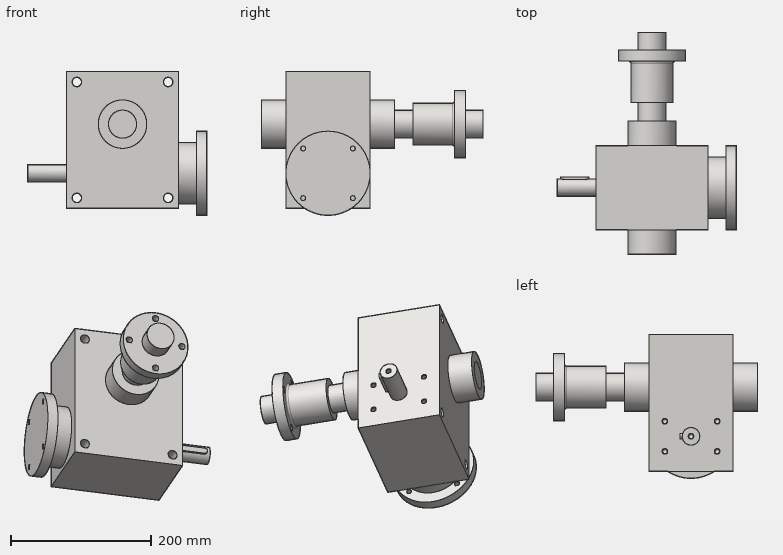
import cadquery as cq
import math


BLOCK_WIDTH = 160
BLOCK_DEPTH = 120
BLOCK_HEIGHT = 195
BLOCK_TOP = 75
BLOCK_BOTTOM = BLOCK_TOP - BLOCK_HEIGHT
MOUNT_HOLE_DIAMETER = 13
MOUNT_HOLE_INSET = 15

TUBE_DIAMETER = 69
TUBE_LENGTH = 35
TUBE_END = BLOCK_DEPTH / 2 + TUBE_LENGTH

WORM_ABOVE_BOTTOM = 50
WORM_HEIGHT = BLOCK_BOTTOM + WORM_ABOVE_BOTTOM

NECK_DIAMETER = 88
NECK_LENGTH = 25
MOTOR_FLANGE_DIAMETER = 120
MOTOR_FLANGE_THICKNESS = 15
MOTOR_HOLE_DIAMETER = 7
MOTOR_BOLT_CIRCLE = 100
MOTOR_HOLE_ANGLES = (45, 135, 225, 315)

THREAD_DIAMETER = 8
CORE_DIAMETER = 6.65
CORE_DEPTH = 20
DRILL_POINT_ANGLE = 118
COVER_BOLT_CIRCLE = 86
COVER_HOLE_ANGLES = (30, 150, 210, 330)

SCREW_DIAMETER = 40
SCREW_PAST_NUT = 25
NUT_GAP = 26

NUT_LENGTH = 75
NUT_DIAMETER = 60
NUT_FLANGE_DIAMETER = 96
NUT_FLANGE_THICKNESS = 16
NUT_FILLET = 3
NUT_HOLE_DIAMETER = 9
NUT_BOLT_CIRCLE = 78
NUT_HOLE_ANGLES = (0, 90, 180, 270)
NUT_START = TUBE_END + NUT_GAP
NUT_END = NUT_START + NUT_LENGTH
SCREW_END = NUT_END + SCREW_PAST_NUT

SHAFT_DIAMETER = 25
SHAFT_LENGTH = 55
SHAFT_START = -BLOCK_WIDTH / 2 - SHAFT_LENGTH
KEY_LENGTH = 40
KEY_WIDTH = 8
KEY_HEIGHT = 7
KEY_SEAT_DEPTH = 4
KEY_END_DISTANCE = 5


def cylinder_y(diameter, start, end):
    """Cylinder on the screw axis between two Y positions."""
    axis_start = cq.Vector(0, start, 0)
    return cq.Workplane(cq.Solid.makeCylinder(diameter / 2, end - start, axis_start, cq.Vector(0, 1, 0)))


def cylinder_x(diameter, start, end, y=0, z=WORM_HEIGHT):
    """Cylinder parallel to X between two X positions."""
    axis_start = cq.Vector(start, y, z)
    return cq.Workplane(cq.Solid.makeCylinder(diameter / 2, end - start, axis_start, cq.Vector(1, 0, 0)))


def circle_points(diameter, angles):
    """Points at the given angles in degrees on a circle about the origin."""
    radius = diameter / 2
    return [
        (radius * math.cos(math.radians(angle)), radius * math.sin(math.radians(angle)))
        for angle in angles
    ]


def tapping_hole(face_x, y=0, z=WORM_HEIGHT):
    """Blind tapping hole going in +X from a face, with a countersunk mouth and a drill point."""
    direction = cq.Vector(1, 0, 0)
    mouth_radius = THREAD_DIAMETER / 2
    core_radius = CORE_DIAMETER / 2
    core_end = face_x + CORE_DEPTH
    countersink_depth = mouth_radius - core_radius
    point_length = core_radius / math.tan(math.radians(DRILL_POINT_ANGLE / 2))

    countersink = cq.Solid.makeCone(
        mouth_radius, core_radius, countersink_depth, cq.Vector(face_x, y, z), direction
    )
    point = cq.Solid.makeCone(core_radius, 0, point_length, cq.Vector(core_end, y, z), direction)
    core = cylinder_x(CORE_DIAMETER, face_x, core_end, y, z)
    return core.union(cq.Workplane(countersink)).union(cq.Workplane(point))


def make_housing():
    block_centre_z = (BLOCK_TOP + BLOCK_BOTTOM) / 2
    block = cq.Workplane().box(BLOCK_WIDTH, BLOCK_DEPTH, BLOCK_HEIGHT).translate((0, 0, block_centre_z))

    mount_holes = (
        cq.Workplane("XZ", origin=(0, 0, block_centre_z))
        .rarray(BLOCK_WIDTH - 2 * MOUNT_HOLE_INSET, BLOCK_HEIGHT - 2 * MOUNT_HOLE_INSET, 2, 2)
        .circle(MOUNT_HOLE_DIAMETER / 2)
        .extrude(BLOCK_DEPTH / 2, both=True)
    )
    housing = block.cut(mount_holes)

    housing = housing.union(cylinder_y(TUBE_DIAMETER, -TUBE_END, TUBE_END))
    housing = housing.cut(cylinder_y(SCREW_DIAMETER, -TUBE_END, TUBE_END))

    neck_start = BLOCK_WIDTH / 2
    flange_start = neck_start + NECK_LENGTH
    flange_end = flange_start + MOTOR_FLANGE_THICKNESS
    housing = housing.union(cylinder_x(NECK_DIAMETER, neck_start, flange_start))
    housing = housing.union(cylinder_x(MOTOR_FLANGE_DIAMETER, flange_start, flange_end))
    for y, z in circle_points(MOTOR_BOLT_CIRCLE, MOTOR_HOLE_ANGLES):
        housing = housing.cut(cylinder_x(MOTOR_HOLE_DIAMETER, flange_start, flange_end, y, WORM_HEIGHT + z))

    for y, z in circle_points(COVER_BOLT_CIRCLE, COVER_HOLE_ANGLES):
        housing = housing.cut(tapping_hole(-BLOCK_WIDTH / 2, y, WORM_HEIGHT + z))
    return housing


def make_screw():
    return cylinder_y(SCREW_DIAMETER, -TUBE_END, SCREW_END)


def make_nut():
    flange_start = NUT_END - NUT_FLANGE_THICKNESS
    body = cylinder_y(NUT_DIAMETER, NUT_START, NUT_END)
    flange = cylinder_y(NUT_FLANGE_DIAMETER, flange_start, NUT_END)
    body_circles = cq.selectors.RadiusNthSelector(0)
    nut = body.union(flange).edges(body_circles).edges(">Y").fillet(NUT_FILLET)
    nut = nut.cut(cylinder_y(SCREW_DIAMETER, NUT_START, NUT_END))
    holes = (
        cq.Workplane("XZ", origin=(0, NUT_END, 0))
        .pushPoints(circle_points(NUT_BOLT_CIRCLE, NUT_HOLE_ANGLES))
        .circle(NUT_HOLE_DIAMETER / 2)
        .extrude(NUT_FLANGE_THICKNESS)
    )
    return nut.cut(holes)


def make_key():
    """Round-ended key on the +Y side of the shaft."""
    seat_y = SHAFT_DIAMETER / 2 - KEY_SEAT_DEPTH
    centre_x = SHAFT_START + KEY_END_DISTANCE + KEY_LENGTH / 2
    return (
        cq.Workplane("XZ", origin=(centre_x, seat_y, WORM_HEIGHT))
        .slot2D(KEY_LENGTH, KEY_WIDTH)
        .extrude(-KEY_HEIGHT)
    )


def make_shaft(key):
    shaft = cylinder_x(SHAFT_DIAMETER, SHAFT_START, -BLOCK_WIDTH / 2)
    return shaft.cut(tapping_hole(SHAFT_START)).cut(key)


housing = make_housing()
screw = make_screw()
nut = make_nut()
key = make_key()
shaft = make_shaft(key)

result = cq.Compound.makeCompound([housing.val(), screw.val(), nut.val(), shaft.val(), key.val()])